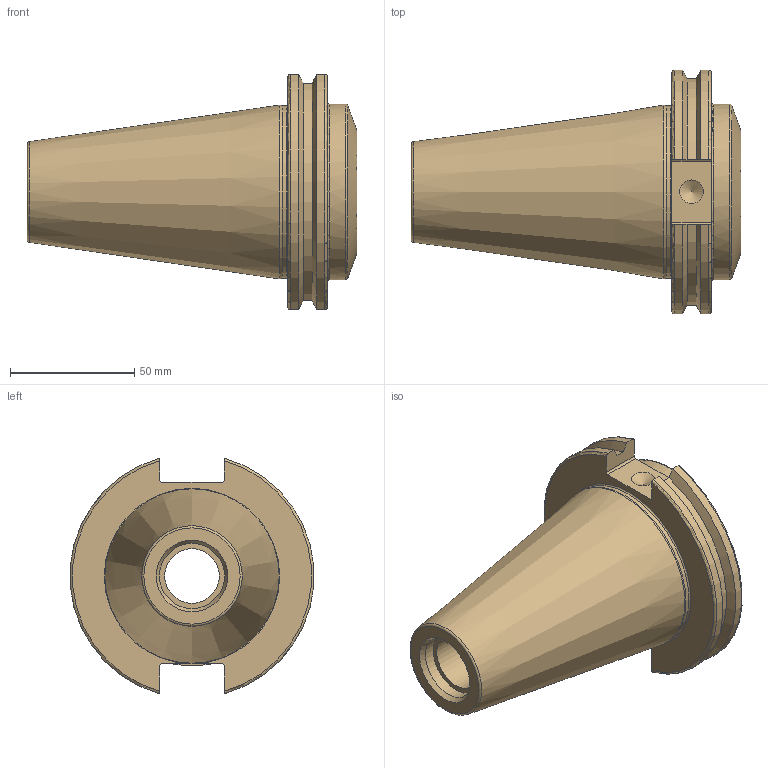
import cadquery as cq
import math

taper_length = 101.6
gauge_diameter = 69.85
taper_ratio = 7 / 24
small_diameter = gauge_diameter - taper_ratio * taper_length
small_end_fillet = 0.9

neck_diameter = 69.25
neck_start = taper_length + 0.9
neck_fillet = 0.6

flange_diameter = 98.17
flange_start = taper_length + 3.18
flange_width = 15.87
flange_end = flange_start + flange_width
flange_fillet = 1.0
flange_center = flange_start + flange_width / 2
groove_floor_diameter = 91.2
groove_floor_width = 3.7
groove_half_angle = 27.5

total_length = 132.5
boss_diameter = 70.5
boss_root_fillet = 0.9
boss_edge_fillet = 0.75
nose_diameter = 49.2
nose_angle = 20

bore_diameter = 21.97
pilot_diameter = 26.2
pilot_mouth_diameter = 28.7
pilot_chamfer_angle = 30
pilot_depth = 6.5

slot_width = 25.9
slot_fillet = 0.8
upper_slot_height = 37.7
lower_slot_height = 35.3
spot_diameter = 9.53
spot_point_angle = 118


def make_body():
    """Revolved outer shape: taper, neck, grooved flange and boss."""
    flange_radius = flange_diameter / 2
    floor_radius = groove_floor_diameter / 2
    boss_radius = boss_diameter / 2
    nose_radius = nose_diameter / 2
    floor_half = groove_floor_width / 2
    wall_run = (flange_radius - floor_radius) * math.tan(math.radians(groove_half_angle))
    top_half = floor_half + wall_run
    nose_run = (boss_radius - nose_radius) * math.tan(math.radians(nose_angle))

    body = (
        cq.Workplane("XZ")
        .lineTo(0, small_diameter / 2)
        .lineTo(taper_length, gauge_diameter / 2)
        .lineTo(neck_start, neck_diameter / 2)
        .lineTo(flange_start, neck_diameter / 2)
        .lineTo(flange_start, flange_radius)
        .lineTo(flange_center - top_half, flange_radius)
        .lineTo(flange_center - floor_half, floor_radius)
        .lineTo(flange_center + floor_half, floor_radius)
        .lineTo(flange_center + top_half, flange_radius)
        .lineTo(flange_end, flange_radius)
        .lineTo(flange_end, boss_radius)
        .lineTo(total_length - nose_run, boss_radius)
        .lineTo(total_length, nose_radius)
        .lineTo(total_length, 0)
        .close()
        .revolve(360, (0, 0, 0), (1, 0, 0))
    )
    body = fillet_circle(body, 0, small_diameter, small_end_fillet)
    body = fillet_circle(body, flange_start, neck_diameter, neck_fillet)
    body = fillet_circle(body, flange_start, flange_diameter, flange_fillet)
    body = fillet_circle(body, flange_end, flange_diameter, flange_fillet)
    body = fillet_circle(body, flange_end, boss_diameter, boss_root_fillet)
    return fillet_circle(body, total_length - nose_run, boss_diameter, boss_edge_fillet)


def fillet_circle(body, x, diameter, fillet_radius):
    """Round the circular edge of the given diameter lying in the plane X = x."""
    margin = 0.01
    half = diameter / 2 + margin
    inner = diameter / 2 - margin
    outer_box = cq.selectors.BoxSelector((x - margin, -half, -half), (x + margin, half, half), True)
    inner_box = cq.selectors.BoxSelector((x - margin, -inner, -inner), (x + margin, inner, inner), True)
    return body.edges(outer_box - inner_box).fillet(fillet_radius)


def make_bore():
    """Through bore with a chamfered pilot counterbore at the small end."""
    pilot_radius = pilot_diameter / 2
    mouth_radius = pilot_mouth_diameter / 2
    chamfer_depth = (mouth_radius - pilot_radius) / math.tan(math.radians(pilot_chamfer_angle))
    return (
        cq.Workplane("XZ")
        .lineTo(0, mouth_radius)
        .lineTo(chamfer_depth, pilot_radius)
        .lineTo(pilot_depth, pilot_radius)
        .lineTo(pilot_depth, bore_diameter / 2)
        .lineTo(total_length, bore_diameter / 2)
        .lineTo(total_length, 0)
        .close()
        .revolve(360, (0, 0, 0), (1, 0, 0))
    )


def make_slot(floor_height, side):
    """Drive slot cutter across the flange width; side is +1 for +Z, -1 for -Z."""
    depth = flange_diameter / 2 - floor_height
    slot = (
        cq.Workplane("XY")
        .box(flange_width, slot_width, depth, centered=(False, True, False))
        .edges("|X and <Z")
        .fillet(slot_fillet)
        .translate((flange_start, 0, floor_height))
    )
    if side < 0:
        slot = slot.mirror("XY")
    return slot


def make_drill_spot():
    """Conical drill spot in the floor of the upper slot, mid-width of the flange."""
    spot_radius = spot_diameter / 2
    spot_depth = spot_radius / math.tan(math.radians(spot_point_angle / 2))
    cone = cq.Solid.makeCone(
        spot_radius,
        0,
        spot_depth,
        pnt=cq.Vector(flange_center, 0, upper_slot_height),
        dir=cq.Vector(0, 0, -1),
    )
    return cq.Workplane(cone)


result = (
    make_body()
    .cut(make_bore())
    .cut(make_slot(upper_slot_height, 1))
    .cut(make_slot(lower_slot_height, -1))
    .cut(make_drill_spot())
)